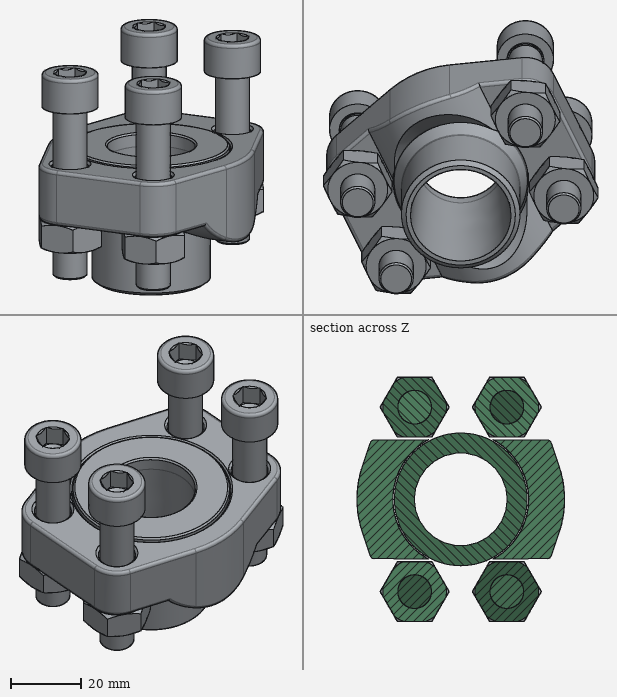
import cadquery as cq
import math

BOLT_X = 13.1
BOLT_Y = 26.2

FLANGE_TOP = 39.5
FLANGE_THICKNESS = 16.0
FLANGE_BOTTOM = FLANGE_TOP - FLANGE_THICKNESS
FLANGE_HALF_LENGTH = 35.0
FLANGE_SIDE_RADIUS = 29.505
CORNER_RADIUS = FLANGE_HALF_LENGTH - BOLT_Y
EDGE_FILLET = 1.0
BELLY_DEPTH = 8.0
BELLY_BOTTOM = FLANGE_BOTTOM - BELLY_DEPTH
BELLY_RADIUS = 22.6
FLANGE_BORE = 38.5
BORE_MOUTH_DIAMETER = 50.4
BOLT_HOLE = 10.5
BOLT_HOLE_CHAMFER = 0.7

SLEEVE_TOP = 40.05
COLLAR_DIAMETER = 44.4
COLLAR_THICKNESS = 8.0
COLLAR_BOTTOM = SLEEVE_TOP - COLLAR_THICKNESS
HUB_DIAMETER = 37.9
HUB_BOTTOM = 23.1
NECK_TOP = 18.0
HUB_FILLET = 1.0
NECK_DIAMETER = 33.7
NECK_BEVEL_HEIGHT = 1.0
NECK_BEVEL_WIDTH = 1.3
SLEEVE_BORE = 25.0
NECK_BORE = 28.5
BORE_TAPER_TOP = 36.0
RIM_CHAMFER = 0.5
RECESS_DIAMETER = 45.2

SCREW_DIAMETER = 9.7
SCREW_LENGTH = 50.0
HEAD_TOP = 66.5
HEAD_HEIGHT = 10.0
HEAD_BOTTOM = HEAD_TOP - HEAD_HEIGHT
HEAD_DIAMETER = 16.0
HEAD_FILLET = 1.0
SHOULDER_DIAMETER = 10.5
SHOULDER_HEIGHT = 0.8
SCREW_TIP_CHAMFER = 0.5
SOCKET_FLATS = 8.3
SOCKET_MOUTH = 9.25
SOCKET_DEPTH = 6.0
SOCKET_CONE_DEPTH = 2.4
SOCKET_TURN = 39.0

NUT_FLATS = 17.0
NUT_HEIGHT = 8.0
NUT_CHAMFER_ANGLE = 30.0

TOLERANCE = 0.001
MARGIN = 0.7
HEX_CORNER_RATIO = 1 / math.cos(math.pi / 6)
BOLT_CENTRES = [(x, y) for x in (-BOLT_X, BOLT_X) for y in (-BOLT_Y, BOLT_Y)]


def revolve_profile(points):
    """Turn a closed (radius, z) outline about the Z axis."""
    return cq.Workplane("XZ").polyline(points).close().revolve(360, (0, 0), (0, 1))


def flange_outline():
    """Side arcs about Z and corner arcs about the bolt centres, joined by tangent lines."""
    bolt_distance = math.hypot(BOLT_X, BOLT_Y)
    bolt_angle = math.atan2(BOLT_Y, BOLT_X)
    tangent = bolt_angle - math.acos((FLANGE_SIDE_RADIUS - CORNER_RADIUS) / bolt_distance)
    corner_middle = (tangent + math.pi / 2) / 2

    side_x = FLANGE_SIDE_RADIUS * math.cos(tangent)
    side_y = FLANGE_SIDE_RADIUS * math.sin(tangent)
    corner_x = BOLT_X + CORNER_RADIUS * math.cos(tangent)
    corner_y = BOLT_Y + CORNER_RADIUS * math.sin(tangent)
    middle_x = BOLT_X + CORNER_RADIUS * math.cos(corner_middle)
    middle_y = BOLT_Y + CORNER_RADIUS * math.sin(corner_middle)

    return (
        cq.Workplane("XY")
        .moveTo(side_x, -side_y)
        .threePointArc((FLANGE_SIDE_RADIUS, 0), (side_x, side_y))
        .lineTo(corner_x, corner_y)
        .threePointArc((middle_x, middle_y), (BOLT_X, FLANGE_HALF_LENGTH))
        .lineTo(-BOLT_X, FLANGE_HALF_LENGTH)
        .threePointArc((-middle_x, middle_y), (-corner_x, corner_y))
        .lineTo(-side_x, side_y)
        .threePointArc((-FLANGE_SIDE_RADIUS, 0), (-side_x, -side_y))
        .lineTo(-corner_x, -corner_y)
        .threePointArc((-middle_x, -middle_y), (-BOLT_X, -FLANGE_HALF_LENGTH))
        .lineTo(BOLT_X, -FLANGE_HALF_LENGTH)
        .threePointArc((middle_x, -middle_y), (corner_x, -corner_y))
        .close()
    )


def belly_profile():
    """Long side shape of the flange: flat underside with a round belly in the middle."""
    belly_half_width = math.sqrt(BELLY_RADIUS**2 - (BELLY_RADIUS - BELLY_DEPTH) ** 2)
    return (
        cq.Workplane("YZ")
        .moveTo(-FLANGE_HALF_LENGTH, FLANGE_TOP)
        .lineTo(-FLANGE_HALF_LENGTH, FLANGE_BOTTOM)
        .lineTo(-belly_half_width, FLANGE_BOTTOM)
        .threePointArc((0, BELLY_BOTTOM), (belly_half_width, FLANGE_BOTTOM))
        .lineTo(FLANGE_HALF_LENGTH, FLANGE_BOTTOM)
        .lineTo(FLANGE_HALF_LENGTH, FLANGE_TOP)
        .close()
    )


def flange_bore():
    """Cutter for the collar recess, the through bore and its countersunk lower mouth."""
    bore = FLANGE_BORE / 2
    mouth = BORE_MOUTH_DIAMETER / 2
    recess = RECESS_DIAMETER / 2
    return revolve_profile([
        (0, BELLY_BOTTOM),
        (mouth, BELLY_BOTTOM),
        (bore, BELLY_BOTTOM + mouth - bore),
        (bore, COLLAR_BOTTOM),
        (recess, COLLAR_BOTTOM),
        (recess, FLANGE_TOP - RIM_CHAMFER),
        (recess + RIM_CHAMFER, FLANGE_TOP),
        (0, FLANGE_TOP),
    ])


def bolt_hole():
    """Cutter for one bolt hole with a chamfered upper rim."""
    radius = BOLT_HOLE / 2
    return revolve_profile([
        (0, BELLY_BOTTOM),
        (radius, BELLY_BOTTOM),
        (radius, FLANGE_TOP - BOLT_HOLE_CHAMFER),
        (radius + BOLT_HOLE_CHAMFER, FLANGE_TOP),
        (0, FLANGE_TOP),
    ])


def is_belly_crease(edge):
    """True for the two inner edges where the belly runs into the flat underside."""
    centre = edge.Center()
    return abs(centre.x) < TOLERANCE and abs(centre.y) < FLANGE_HALF_LENGTH - TOLERANCE


def make_flange():
    """Flange body with rounded rims, stepped bore and four bolt holes."""
    block = flange_outline().extrude(FLANGE_TOP)
    block = block.intersect(belly_profile().extrude(FLANGE_SIDE_RADIUS + MARGIN, both=True))
    block = block.faces(">Z").edges().fillet(EDGE_FILLET)
    underside_edges = block.faces("<Z or -Z").edges()
    rim = underside_edges.filter(lambda edge: not is_belly_crease(edge))
    block = rim.fillet(EDGE_FILLET)
    block = block.cut(flange_bore())
    for centre_x, centre_y in BOLT_CENTRES:
        block = block.cut(bolt_hole().translate((centre_x, centre_y, 0)))
    return block


def make_sleeve():
    """Collar, tapered hub and weld neck around a bore that widens downwards."""
    collar = COLLAR_DIAMETER / 2
    hub = HUB_DIAMETER / 2
    neck = NECK_DIAMETER / 2
    bore = SLEEVE_BORE / 2
    body = revolve_profile([
        (NECK_BORE / 2, 0),
        (neck - NECK_BEVEL_WIDTH, 0),
        (neck, NECK_BEVEL_HEIGHT),
        (neck, NECK_TOP),
        (hub, HUB_BOTTOM),
        (hub, COLLAR_BOTTOM),
        (collar, COLLAR_BOTTOM),
        (collar, SLEEVE_TOP - RIM_CHAMFER),
        (collar - RIM_CHAMFER, SLEEVE_TOP),
        (bore + RIM_CHAMFER, SLEEVE_TOP),
        (bore, SLEEVE_TOP - RIM_CHAMFER),
        (bore, BORE_TAPER_TOP),
    ])
    taper_ends = cq.selectors.BoxSelector(
        (-hub - MARGIN, -hub - MARGIN, NECK_TOP - MARGIN),
        (hub + MARGIN, hub + MARGIN, HUB_BOTTOM + MARGIN),
        boundingbox=True,
    )
    return body.edges(taper_ends).edges("%CIRCLE").fillet(HUB_FILLET)


def make_screw():
    """Socket head screw on the Z axis, hanging down from its head."""
    seat = cq.Workplane("XY", origin=(0, 0, HEAD_BOTTOM))
    head = seat.circle(HEAD_DIAMETER / 2).extrude(HEAD_HEIGHT)
    head = head.faces(">Z").edges().fillet(HEAD_FILLET)

    shank = seat.circle(SCREW_DIAMETER / 2).extrude(-SCREW_LENGTH)
    shank = shank.faces("<Z").edges().chamfer(SCREW_TIP_CHAMFER)
    shoulder = seat.circle(SHOULDER_DIAMETER / 2).extrude(-SHOULDER_HEIGHT)

    socket_floor = HEAD_TOP - SOCKET_DEPTH
    socket = (
        cq.Workplane("XY", origin=(0, 0, socket_floor))
        .transformed(rotate=(0, 0, SOCKET_TURN))
        .polygon(6, SOCKET_FLATS * HEX_CORNER_RATIO)
        .extrude(SOCKET_DEPTH)
    )
    mouth = SOCKET_MOUTH / 2
    socket_mouth = revolve_profile([(0, HEAD_TOP - mouth), (mouth, HEAD_TOP), (0, HEAD_TOP)])
    socket_cone = revolve_profile([
        (0, socket_floor - SOCKET_CONE_DEPTH),
        (SOCKET_FLATS / 2, socket_floor),
        (0, socket_floor),
    ])
    return head.union(shoulder).union(shank).cut(socket).cut(socket_mouth).cut(socket_cone)


def make_nut():
    """Hex nut under the flange, chamfered on both faces, corners along X."""
    nut_bottom = FLANGE_BOTTOM - NUT_HEIGHT
    flat = NUT_FLATS / 2
    corner = flat * HEX_CORNER_RATIO
    drop = (corner - flat) * math.tan(math.radians(NUT_CHAMFER_ANGLE))
    chamfer_blank = revolve_profile([
        (SCREW_DIAMETER / 2, nut_bottom),
        (flat, nut_bottom),
        (corner, nut_bottom + drop),
        (corner, FLANGE_BOTTOM - drop),
        (flat, FLANGE_BOTTOM),
        (SCREW_DIAMETER / 2, FLANGE_BOTTOM),
    ])
    hexagon = cq.Workplane("XY", origin=(0, 0, nut_bottom)).polygon(6, 2 * corner).extrude(NUT_HEIGHT)
    return hexagon.intersect(chamfer_blank)


flange = make_flange()
sleeve = make_sleeve()
screws = []
nuts = []
for x, y in BOLT_CENTRES:
    screws.append(make_screw().translate((x, y, 0)).val())
    nuts.append(make_nut().translate((x, y, 0)).val())

result = cq.Compound.makeCompound([flange.val(), sleeve.val(), *screws, *nuts])